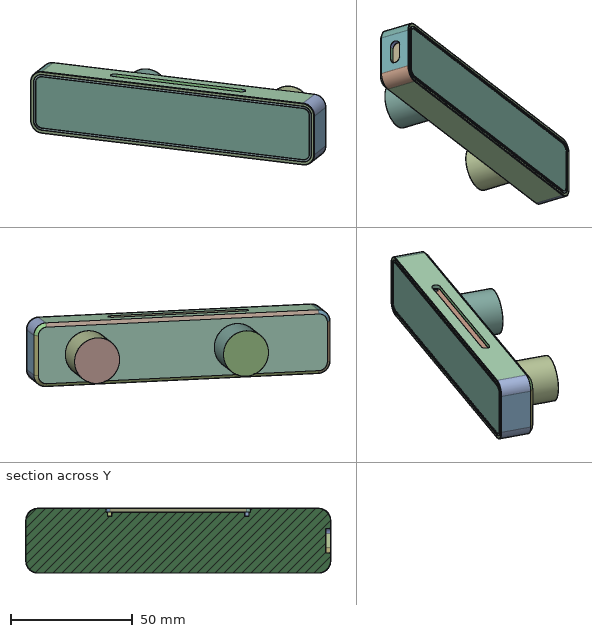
import cadquery as cq

length = 125.2
height = 26.7
total_depth = 30.3
body_depth = 14.5
corner_radius = 5.0
back_chamfer = 1.5
front_chamfer = 0.3

groove_outer_inset = 1.4
groove_inner_inset = 2.3
groove_depth = 0.4

peg_diameter = 19.0
peg_positions = (-22.8, 40.2)

slot_y = 6.5
slot_length = 59.2
slot_width = 3.4
slot_depth = 1.6
hole_diameter = 1.6
hole_depth = 1.6
hole_spacing = 56.3

end_slot_length = 10.0
end_slot_width = 4.3
end_slot_depth = 2.0


def rounded_block(inset, depth):
    """Rounded bar shrunk by inset on every side, reaching back from the front face."""
    return (
        cq.Workplane("XZ")
        .rect(length - 2 * inset, height - 2 * inset)
        .extrude(-depth)
        .edges("|Y")
        .fillet(corner_radius - inset)
    )


def body():
    block = rounded_block(0, body_depth)
    block = block.faces(">Y").chamfer(back_chamfer)
    return block.faces("<Y").chamfer(front_chamfer)


def panel_groove():
    outer = rounded_block(groove_outer_inset, groove_depth)
    return outer.cut(rounded_block(groove_inner_inset, groove_depth))


def pegs():
    return (
        cq.Workplane("XZ", origin=(0, body_depth, 0))
        .pushPoints([(x, 0) for x in peg_positions])
        .circle(peg_diameter / 2)
        .extrude(body_depth - total_depth)
    )


def top_slot():
    top = cq.Workplane("XY", origin=(0, slot_y, height / 2))
    hole_x = hole_spacing / 2
    slot = top.slot2D(slot_length, slot_width).extrude(-slot_depth)
    holes = (
        top.pushPoints([(-hole_x, 0), (hole_x, 0)])
        .circle(hole_diameter / 2)
        .extrude(-slot_depth - hole_depth)
    )
    return slot.union(holes)


def end_slot():
    return (
        cq.Workplane("YZ", origin=(-length / 2, slot_y, 0))
        .slot2D(end_slot_length, end_slot_width, 90)
        .extrude(end_slot_depth)
    )


result = body().union(pegs()).cut(panel_groove()).cut(top_slot()).cut(end_slot())